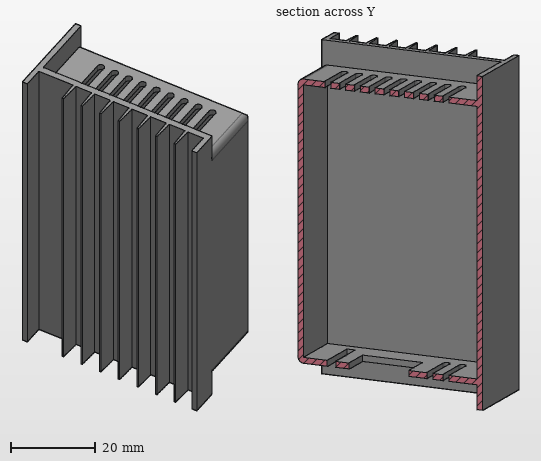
import cadquery as cq

width = 48.6
depth = 24.35
height = 82.5

side_wall = 1.6
leg_thickness = 1.4
base_front = 5.3
base_thickness = 1.7
base_back = base_front + base_thickness

fin_count = 7
first_fin_x = 11.3
fin_pitch = 5.2
fin_root = 0.9
fin_tip = 0.4

end_recess = 6.1
cover_wall = 1.6
cover_fillet = 1.65
cover_chamfer = 0.8
cover_bottom = end_recess
cover_top = height - end_recess

slot_count = 9
first_slot_x = 9.65
slot_pitch = 3.9
slot_width = 1.7
slot_length = 10.5
slot_y = 15.7

lower_slot_shift = 0.3
connector_x = 27.2
connector_width = 15.7
connector_front = 12.9
connector_back = 21.9
side_opening_x = 39.7
side_opening_width = 2.15
side_opening_length = 12.4


def block(x0, x1, y0, y1, z0, z1):
    """Box between two opposite corners."""
    return cq.Workplane("XY").box(x1 - x0, y1 - y0, z1 - z0, centered=False).translate((x0, y0, z0))


def make_fin(x):
    """Full-height fin whose root is on the front of the base plate."""
    outline = [
        (x - fin_tip / 2, 0),
        (x + fin_tip / 2, 0),
        (x + fin_root / 2, base_front),
        (x - fin_root / 2, base_front),
    ]
    return cq.Workplane("XY").polyline(outline).close().extrude(height)


def make_heat_sink():
    """Base plate with its outer walls and fins."""
    body = block(0, width, base_front, base_back, 0, height)
    body = body.union(block(0, leg_thickness, 0, base_front, 0, height))
    body = body.union(block(0, side_wall, base_front, depth, 0, height))
    body = body.union(block(width - leg_thickness, width, 0, base_front, 0, height))
    for i in range(fin_count):
        body = body.union(make_fin(first_fin_x + i * fin_pitch))
    return body


def make_cover():
    """Hollow cover with rounded end corners and a chamfered rear rim."""
    envelope = block(0, width, base_front, depth, cover_bottom, cover_top)
    chamfered = envelope.faces(">Y").edges("not <X").chamfer(cover_chamfer)
    rounded = envelope.edges("|Y and >X").fillet(cover_fillet)
    shell = chamfered.intersect(rounded)
    cavity = block(
        side_wall,
        width - cover_wall,
        base_back,
        depth - cover_wall,
        cover_bottom + cover_wall,
        cover_top - cover_wall,
    )
    return shell.cut(cavity)


def make_slot(x, wall_bottom):
    """Cutter for a round-ended slot through an end wall of the cover."""
    slot = cq.Workplane("XY").slot2D(slot_length, slot_width, 90).extrude(cover_wall)
    return slot.translate((x, slot_y, wall_bottom))


def cut_top_slots(body):
    """Evenly spaced ventilation slots in the top wall."""
    for i in range(slot_count):
        body = body.cut(make_slot(first_slot_x + i * slot_pitch, cover_top - cover_wall))
    return body


def cut_bottom_openings(body):
    """Two slots, a wide connector opening and a narrow opening in the bottom wall."""
    inner_face = cover_bottom + cover_wall
    body = body.cut(make_slot(first_slot_x, cover_bottom))
    body = body.cut(make_slot(first_slot_x + slot_pitch + lower_slot_shift, cover_bottom))
    connector = block(
        connector_x - connector_width / 2,
        connector_x + connector_width / 2,
        connector_front,
        connector_back,
        cover_bottom,
        inner_face,
    )
    side_opening = block(
        side_opening_x - side_opening_width / 2,
        side_opening_x + side_opening_width / 2,
        slot_y - side_opening_length / 2,
        slot_y + side_opening_length / 2,
        cover_bottom,
        inner_face,
    )
    return body.cut(connector).cut(side_opening)


cover = cut_bottom_openings(cut_top_slots(make_cover()))
result = make_heat_sink().union(cover)